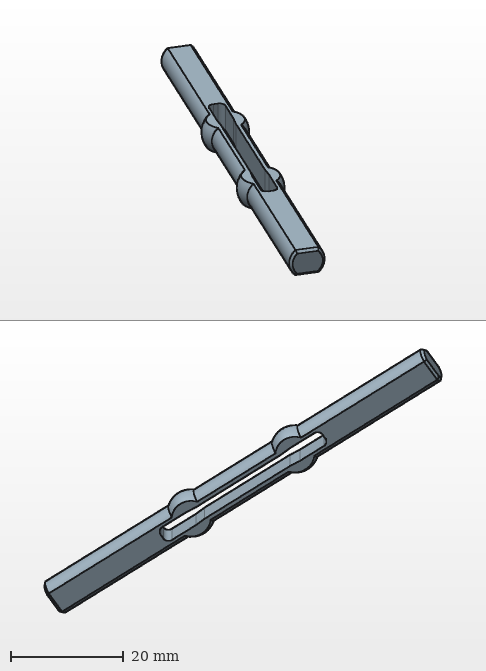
import cadquery as cq

bar_length = 81.25
bar_diameter = 6.6
flat_height = 5.0
end_chamfer = 0.5

bulge_diameter = 8.5
bulge_spacing = 22.2

slot_length = 34.6
slot_end_width = 3.0
slot_middle_width = 2.7
slot_corner_radius = 1.05
taper_length = 1.95
taper_end = bulge_spacing / 2
taper_start = taper_end - taper_length


def flatted_bar():
    """Round rod with bulges, cut to flats, with every edge of the end faces chamfered."""
    rod = cq.Workplane("YZ").circle(bar_diameter / 2).extrude(bar_length / 2, both=True)
    flats = cq.Workplane("XY").box(bar_length, bulge_diameter, flat_height)
    bar = rod.intersect(flats).faces("<X or >X").edges().chamfer(end_chamfer)
    for side in (-1, 1):
        bulge = cq.Workplane("XY").sphere(bulge_diameter / 2)
        bulge = bulge.translate((side * bulge_spacing / 2, 0, 0))
        bar = bar.union(bulge.intersect(flats))
    return bar


def slot_cutter():
    """Slot outline with rounded outer corners and short tapers between its two widths."""
    end_x = slot_length / 2
    wide_y = slot_end_width / 2
    narrow_y = slot_middle_width / 2
    outline = [
        (-end_x, -wide_y),
        (-taper_end, -wide_y),
        (-taper_start, -narrow_y),
        (taper_start, -narrow_y),
        (taper_end, -wide_y),
        (end_x, -wide_y),
        (end_x, wide_y),
        (taper_end, wide_y),
        (taper_start, narrow_y),
        (-taper_start, narrow_y),
        (-taper_end, wide_y),
        (-end_x, wide_y),
    ]
    cutter = cq.Workplane("XY").polyline(outline).close().extrude(flat_height / 2, both=True)
    end_corners = cutter.faces("<X or >X").edges("|Z")
    return cutter.newObject(end_corners.vals()).fillet(slot_corner_radius)


result = flatted_bar().cut(slot_cutter())